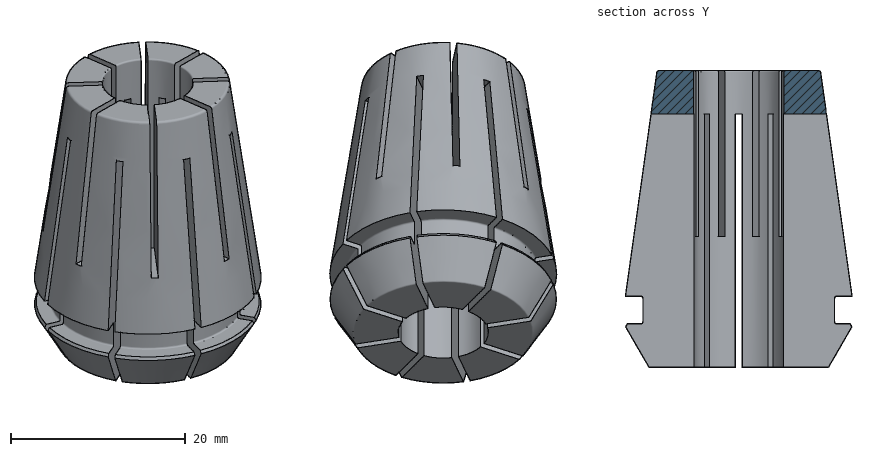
import cadquery as cq
import math

length = 34.0
max_radius = 13.0
bore_diameter = 10.32
taper_angle = 8.0
nose_angle = 30.0

groove_bottom = 5.0
groove_top = 8.13
groove_radius = 11.0
groove_root_fillet = 0.2

rim_radius = 12.97
rim_bevel_height = 0.36
rim_bevel_depth = 0.2

top_edge_fillet = 0.3
bottom_edge_fillet = 0.2
bore_mouth_fillet = 0.2

slot_width = 0.8
slots_per_end = 8
bottom_slot_end = 29.0
top_slot_end = 15.0

radius_match = 1e-6

slot_pitch = 360.0 / slots_per_end
rim_height = groove_bottom - rim_bevel_height
bottom_radius = rim_radius - rim_height * math.tan(math.radians(nose_angle))
top_radius = max_radius - (length - groove_top) * math.tan(math.radians(taper_angle))


def make_body():
    """Revolve the two tapers and the groove between them, then break the edges."""
    outline = [
        (0, 0),
        (bottom_radius, 0),
        (rim_radius, rim_height),
        (rim_radius - rim_bevel_depth, groove_bottom),
        (groove_radius, groove_bottom),
        (groove_radius, groove_top),
        (max_radius, groove_top),
        (top_radius, length),
        (0, length),
    ]
    body = cq.Workplane("XZ").polyline(outline).close().revolve(360, (0, 0), (0, 1))
    body = fillet_groove_roots(body)
    body = body.faces(">Z").edges().fillet(top_edge_fillet)
    return body.faces("<Z").edges().fillet(bottom_edge_fillet)


def fillet_groove_roots(body):
    """Fillet both circles where the groove floor meets the groove walls."""
    roots = [
        edge
        for edge in body.edges("%CIRCLE").vals()
        if math.isclose(edge.radius(), groove_radius, rel_tol=radius_match)
    ]
    return body.newObject(roots).fillet(groove_root_fillet)


def cut_bore(body):
    """Bore the part through and round the bore at its upper mouth."""
    bored = body.cut(cq.Workplane("XY").circle(bore_diameter / 2).extrude(length))
    return bored.faces(">Z").edges(cq.selectors.RadiusNthSelector(0)).fillet(bore_mouth_fillet)


def cut_slots(body, z_start, z_end, first_angle):
    """Cut radial slots between two heights, evenly spaced from first_angle."""
    blade = (
        cq.Workplane("XY", origin=(0, 0, z_start))
        .rect(2 * max_radius, slot_width)
        .extrude(z_end - z_start)
        .translate((max_radius, 0, 0))
    )
    for index in range(slots_per_end):
        body = body.cut(blade.rotate((0, 0, 0), (0, 0, 1), first_angle + index * slot_pitch))
    return body


collet = cut_bore(make_body())
collet = cut_slots(collet, 0, bottom_slot_end, 0)
result = cut_slots(collet, top_slot_end, length, slot_pitch / 2)